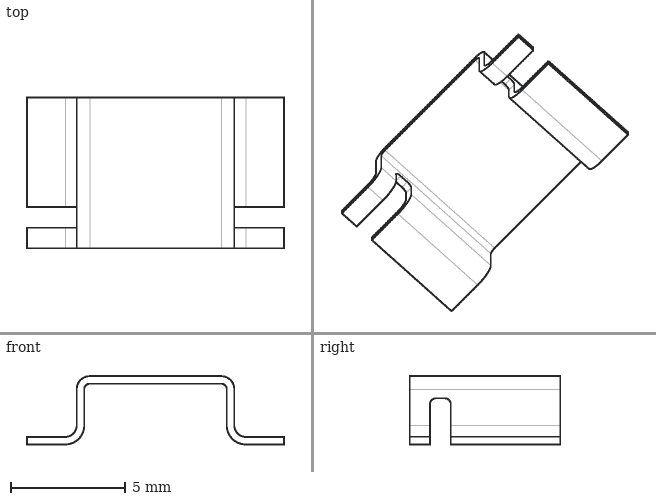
import cadquery as cq

length_x = 11.24
depth_y = 6.6
height = 3.0
thickness = 0.34

crown_width = 6.9
crown_bend_inner = 0.24
foot_bend_inner = 0.5
crown_bend_outer = crown_bend_inner + thickness
foot_bend_outer = foot_bend_inner + thickness

leg_width = 0.9
slot_width = 0.9
slot_height = 2.02
slot_corner_radius = 0.25

front_y = -depth_y / 2


def sheet_strip():
    """Hat-shaped sheet extruded over the full depth, with its bends rounded."""
    wall_outer = crown_width / 2
    wall_inner = wall_outer - thickness
    foot_end = length_x / 2
    profile = [
        (-foot_end, 0),
        (-wall_inner, 0),
        (-wall_inner, height - thickness),
        (wall_inner, height - thickness),
        (wall_inner, 0),
        (foot_end, 0),
        (foot_end, thickness),
        (wall_outer, thickness),
        (wall_outer, height),
        (-wall_outer, height),
        (-wall_outer, thickness),
        (-foot_end, thickness),
    ]
    strip = cq.Workplane("XZ", origin=(0, depth_y / 2, 0)).polyline(profile).close().extrude(depth_y)
    return bend_corners(strip, wall_outer, wall_inner)


def bend_corners(strip, wall_outer, wall_inner):
    """Round both faces of the sheet at each of the four bends."""
    bends = [
        (wall_outer, height, crown_bend_outer),
        (wall_inner, height - thickness, crown_bend_inner),
        (wall_outer, thickness, foot_bend_inner),
        (wall_inner, 0, foot_bend_outer),
    ]
    for x, z, radius in bends:
        for side in (-1, 1):
            corner = cq.selectors.NearestToPointSelector((side * x, 0, z))
            strip = strip.edges("|Y").edges(corner).fillet(radius)
    return strip


def leg_slot():
    """Slot cutter through both walls and feet, open at the bottom, rounded at the top."""
    return (
        cq.Workplane("XY", origin=(0, front_y + leg_width + slot_width / 2, 0))
        .box(length_x, slot_width, slot_height, centered=(True, True, False))
        .edges("|X and >Z")
        .fillet(slot_corner_radius)
    )


result = sheet_strip().cut(leg_slot())